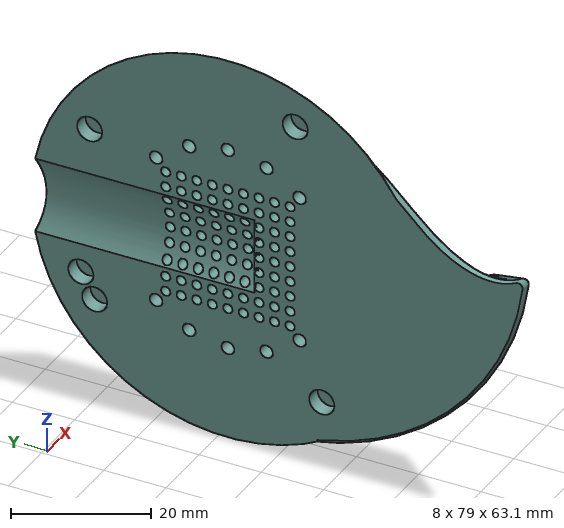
import cadquery as cq
import math

thickness = 8.0
base_radius = 63.1 / 2
back_radius = 19.3

dome_centre_x = (back_radius**2 + thickness**2 - base_radius**2) / (2 * thickness)
dome_radius = math.hypot(base_radius, dome_centre_x)

rim_x = 0.7
middle_x = 4.9
bevel_x = 7.0

tip_crown_out = 0.9
tip_crown_down = 0.3
tip_end_offset = 0.95

channel_half_width = 6.1
channel_depth = 1.4
channel_end_y = -4.3

grid_count = 9
grid_span = 20.0
grid_pitch = grid_span / (grid_count - 1)
grid_hole_diameter = 1.5

ring_radius = 16.6
ring_step_angle = 22
ring_side_steps = 2
ring_hole_diameter = 2.05

pocket_diameter = 4.0
pocket_depth = 2.5
pocket_centres = [(-10.8, 23.6), (22.2, 13.6), (23.6, -10.7), (21.4, -14.7), (-15.1, -21.2)]


def make_dome():
    """Spherical cap between the flat face and the back face."""
    mid_x = thickness / 2
    mid_radius = math.sqrt(dome_radius**2 - (mid_x - dome_centre_x) ** 2)
    return (
        cq.Workplane("XY")
        .lineTo(0, base_radius)
        .threePointArc((mid_x, mid_radius), (thickness, back_radius))
        .lineTo(thickness, 0)
        .close()
        .revolve(360, (0, 0, 0), (1, 0, 0))
    )


def tail_outline(x, hollow, tip, belly, heel):
    """Closed hook outline at height x, with all points as (Y, Z).

    A spline follows the hollow side from its root to the tip, a small arc rounds the tip,
    and one arc passes through belly to end at heel inside the dome.
    """
    tip_crown = (tip[0] - tip_crown_out, tip[1] - tip_crown_down)
    tip_end = (tip[0] - tip_end_offset, tip[1] - tip_end_offset)
    return (
        cq.Workplane("YZ", origin=(x, 0, 0))
        .spline(hollow + [tip])
        .threePointArc(tip_crown, tip_end)
        .threePointArc(belly, heel)
        .close()
        .val()
    )


def make_tail():
    """Hooked tail: undercut below the rim, sloping flanks, edge bevel growing toward the tip."""
    flat_face = tail_outline(
        0,
        hollow=[(-20.8, 21.5), (-26.5, 16.7), (-35.2, 9.15), (-42.0, 6.95)],
        tip=(-46.35, 7.9),
        belly=(-39.15, -12.6),
        heel=(-11.45, -28.1),
    )
    rim = tail_outline(
        rim_x,
        hollow=[(-21.15, 21.95), (-27.0, 17.05), (-35.3, 9.8), (-42.5, 7.2)],
        tip=(-47.0, 8.45),
        belly=(-39.5, -12.9),
        heel=(-12.9, -28.8),
    )
    middle = tail_outline(
        middle_x,
        hollow=[(-18.7, 16.6), (-24.15, 12.2), (-31.3, 6.2), (-37.2, 4.2)],
        tip=(-41.8, 5.05),
        belly=(-34.3, -11.8),
        heel=(-9.8, -22.8),
    )
    back = tail_outline(
        thickness,
        hollow=[(-16.2, 10.65), (-21.3, 7.0), (-27.6, 3.15), (-33.15, 1.6)],
        tip=(-37.9, 2.5),
        belly=(-30.15, -10.7),
        heel=(-7.5, -18.15),
    )
    undercut = cq.Workplane(cq.Solid.makeLoft([flat_face, rim], True))
    flanks = cq.Workplane(cq.Solid.makeLoft([rim, middle, back]))

    bevel_foot = tail_outline(
        bevel_x,
        hollow=[(-15.8, 14.6), (-22.1, 9.9), (-28.65, 4.9), (-33.95, 2.5)],
        tip=(-38.9, 3.3),
        belly=(-31.5, -11.4),
        heel=(-7.5, -21.3),
    )
    bevel_top = tail_outline(
        thickness,
        hollow=[(-15.4, 12.8), (-21.0, 7.9), (-27.55, 3.1), (-32.4, 0.95)],
        tip=(-37.2, 1.5),
        belly=(-29.5, -10.0),
        heel=(-7.5, -18.95),
    )
    cap = cq.Workplane(cq.Solid.makeLoft([bevel_foot, bevel_top], True))
    slab_side = 4 * base_radius
    slab = cq.Workplane("YZ").rect(slab_side, slab_side).extrude(bevel_x)
    return undercut.union(flanks.intersect(slab)).union(flanks.intersect(cap))


def cut_channel(body):
    """Shallow circular trough from the +Y edge to a flat end wall."""
    radius = (channel_half_width**2 + channel_depth**2) / (2 * channel_depth)
    length = base_radius - channel_end_y
    cutter = (
        cq.Workplane("XZ", origin=(0, channel_end_y, 0))
        .center(channel_depth - radius, 0)
        .circle(radius)
        .extrude(-length)
    )
    return body.cut(cutter)


def cylinders(centres, diameter, depth):
    """Cylinders rising from the flat face at the given (Y, Z) centres."""
    return cq.Workplane("YZ").pushPoints(centres).circle(diameter / 2).extrude(depth)


def ring_centres():
    """Centres on both arcs, stepped to either side of the Z axis."""
    steps = range(-ring_side_steps, ring_side_steps + 1)
    points = []
    for side in (-1, 1):
        for step in steps:
            angle = math.radians(step * ring_step_angle)
            points.append((ring_radius * math.sin(angle), side * ring_radius * math.cos(angle)))
    return points


def cut_holes(body):
    """Through holes of the grid and the arcs, and the blind pockets."""
    grid = (
        cq.Workplane("YZ")
        .rarray(grid_pitch, grid_pitch, grid_count, grid_count)
        .circle(grid_hole_diameter / 2)
        .extrude(thickness)
    )
    ring = cylinders(ring_centres(), ring_hole_diameter, thickness)
    pockets = cylinders(pocket_centres, pocket_diameter, pocket_depth)
    return body.cut(grid).cut(ring).cut(pockets)


result = cut_holes(cut_channel(make_dome().union(make_tail())))